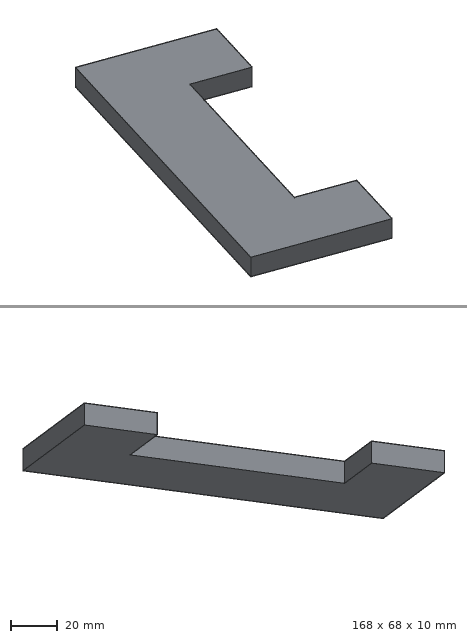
import cadquery as cq

length = 168.0
width = 68.0
thickness = 10.0

notch_length = 100.0
notch_depth = 30.0


def make_plate():
    """Flat plate centred on the origin in X and Y, with its base at Z = 0."""
    return cq.Workplane("XY").box(length, width, thickness, centered=(True, True, False))


def make_notch():
    """Block that opens the +Y edge through the full thickness."""
    notch_center_y = (width - notch_depth) / 2
    return (
        cq.Workplane("XY")
        .center(0, notch_center_y)
        .rect(notch_length, notch_depth)
        .extrude(thickness)
    )


result = make_plate().cut(make_notch())